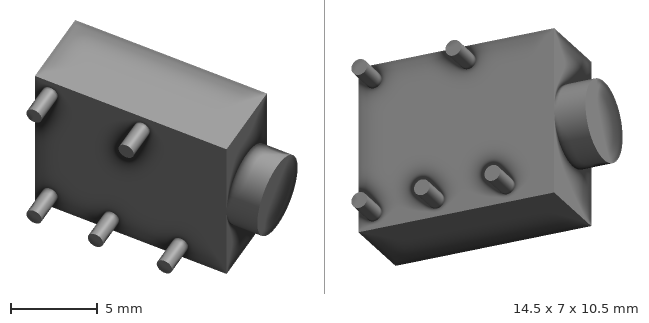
import cadquery as cq

overall_length = 14.5
body_height = 10.5
body_depth = 5.0

barrel_length = 2.0
barrel_diameter = body_depth
body_length = overall_length - barrel_length

pin_diameter = 1.0
pin_length = 2.0
pin_edge_inset = 1.0
upper_pin_offset = 7.0
lower_middle_pin_offset = 5.0
lower_far_pin_offset = 9.5

upper_row = [pin_edge_inset, upper_pin_offset]
lower_row = [pin_edge_inset, lower_middle_pin_offset, lower_far_pin_offset]


def make_body():
    """Block with one corner at the origin."""
    return cq.Workplane("XY").box(body_length, body_depth, body_height, centered=False)


def make_barrel():
    """Cylinder centred on the +X face of the body."""
    return (
        cq.Workplane("YZ", origin=(body_length, body_depth / 2, body_height / 2))
        .circle(barrel_diameter / 2)
        .extrude(barrel_length)
    )


def make_pins(offsets, height):
    """Row of pins pointing toward -Y at one height."""
    return (
        cq.Workplane("XZ")
        .pushPoints([(offset, height) for offset in offsets])
        .circle(pin_diameter / 2)
        .extrude(pin_length)
    )


result = (
    make_body()
    .union(make_barrel())
    .union(make_pins(upper_row, body_height - pin_edge_inset))
    .union(make_pins(lower_row, pin_edge_inset))
)